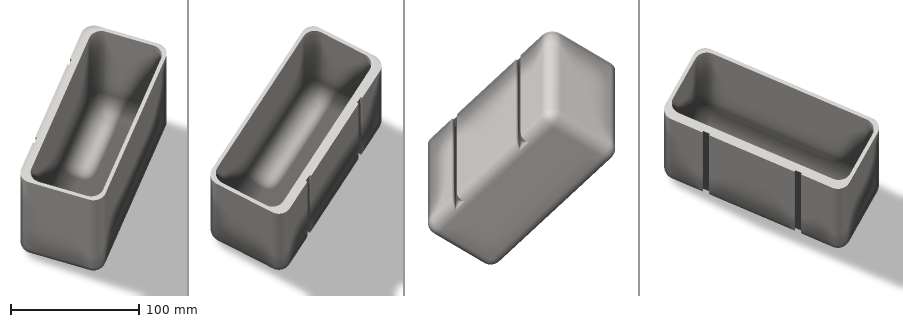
import cadquery as cq

WIDTH = 70.0
LENGTH = 160.0
HEIGHT = 100.0
OUTER_RADIUS = 10.0

WALL = 3.0
GROOVED_WALL = 7.5
FLOOR = 3.0
CAVITY_CORNER_RADIUS = 10.0
CAVITY_FLOOR_RADIUS = 15.0

NECK_WIDTH = 5.9
NECK_DEPTH = 1.4
DOVETAIL_WIDTH = 11.1
DOVETAIL_DEPTH = 4.3
SLOPE_HEIGHT = 3.8
GROOVE_Y = LENGTH / 4

OUTER_FACE_X = -WIDTH / 2
NECK_END_X = OUTER_FACE_X + NECK_DEPTH
GROOVE_FLOOR_X = NECK_END_X + DOVETAIL_DEPTH


def make_outer_block():
    """Block with rounded upright corners and a rounded bottom edge."""
    block = cq.Workplane("XY").box(WIDTH, LENGTH, HEIGHT, centered=(True, True, False))
    return block.edges("|Z or <Z").fillet(OUTER_RADIUS)


def make_cavity():
    """Open-topped space inside the bin, with a wide blend around its floor."""
    cavity_width = WIDTH - WALL - GROOVED_WALL
    cavity_length = LENGTH - 2 * WALL
    centre_x = (GROOVED_WALL - WALL) / 2
    cavity = (
        cq.Workplane("XY", origin=(centre_x, 0, FLOOR))
        .box(cavity_width, cavity_length, HEIGHT - FLOOR, centered=(True, True, False))
    )
    cavity = cavity.edges("<Z").fillet(CAVITY_FLOOR_RADIUS)
    return cavity.edges("|Z").fillet(CAVITY_CORNER_RADIUS)


def make_groove(centre_y):
    """Dovetail groove, open at the bottom, its undercut closed at the top by a slope."""
    neck = (
        cq.Workplane("XY")
        .center(OUTER_FACE_X + NECK_DEPTH / 2, centre_y)
        .rect(NECK_DEPTH, NECK_WIDTH)
        .extrude(HEIGHT)
    )
    dovetail = (
        cq.Workplane("XY", origin=(0, centre_y, 0))
        .moveTo(NECK_END_X, -NECK_WIDTH / 2)
        .lineTo(GROOVE_FLOOR_X, -DOVETAIL_WIDTH / 2)
        .lineTo(GROOVE_FLOOR_X, DOVETAIL_WIDTH / 2)
        .lineTo(NECK_END_X, NECK_WIDTH / 2)
        .close()
        .extrude(HEIGHT)
    )
    slope = (
        cq.Workplane("XZ", origin=(0, centre_y, 0))
        .moveTo(NECK_END_X, HEIGHT)
        .lineTo(GROOVE_FLOOR_X, HEIGHT)
        .lineTo(GROOVE_FLOOR_X, HEIGHT - SLOPE_HEIGHT)
        .close()
        .extrude(DOVETAIL_WIDTH, both=True)
    )
    return neck.union(dovetail.cut(slope))


def make_bin_half(side):
    """Half of the bin on the +Y side (side = 1) or the -Y side (side = -1) of the joint at Y = 0."""
    half_space = (
        cq.Workplane("XY")
        .center(0, side * LENGTH / 4)
        .rect(WIDTH, LENGTH / 2)
        .extrude(HEIGHT)
    )
    shell = make_outer_block().cut(make_cavity())
    return shell.intersect(half_space).cut(make_groove(side * GROOVE_Y))


bin_halves = [make_bin_half(side) for side in (-1, 1)]

result = cq.Compound.makeCompound([half.solids().val() for half in bin_halves])